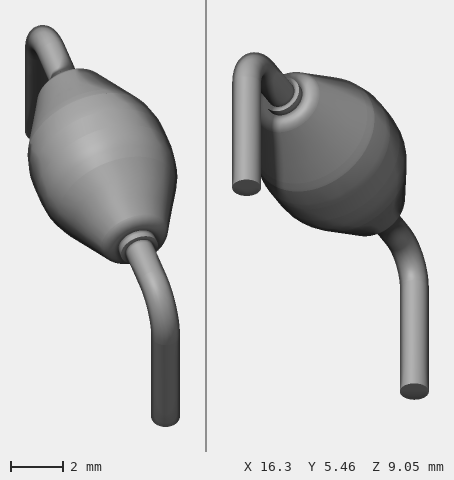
import cadquery as cq
import math


BEAD_RADIUS = 2.73
BEAD_HALF_LENGTH = 4.15
CYLINDER_HALF_LENGTH = 0.42
SHOULDER_END_X = 1.8
SHOULDER_RADIUS = 3.0
END_FILLET_RADIUS = 0.49
END_FACE_RADIUS = 0.92

BAND_INNER_X = -1.45
BAND_OUTER_X = -SHOULDER_END_X

COLLAR_RADIUS = 0.75
COLLAR_END_X = 4.46
COLLAR_LENGTH = COLLAR_END_X - BEAD_HALF_LENGTH

OVERALL_LENGTH = 16.34
LEAD_RADIUS = 0.55
LEAD_BEND_RADIUS = 1.5
LEAD_TIP_Z = -6.32
LEAD_X = OVERALL_LENGTH / 2 - LEAD_RADIUS

SIDES = (-1, 1)


def bead_shape():
    """Whole bead: cylinder, tangent shoulder arcs, cones and rounded end rims."""
    cone_angle = math.asin((SHOULDER_END_X - CYLINDER_HALF_LENGTH) / SHOULDER_RADIUS)

    shoulder_center_r = BEAD_RADIUS - SHOULDER_RADIUS

    def shoulder_point(angle):
        return (
            CYLINDER_HALF_LENGTH + SHOULDER_RADIUS * math.sin(angle),
            shoulder_center_r + SHOULDER_RADIUS * math.cos(angle),
        )

    fillet_center_x = BEAD_HALF_LENGTH - END_FILLET_RADIUS

    def fillet_point(angle):
        return (
            fillet_center_x + END_FILLET_RADIUS * math.sin(angle),
            END_FACE_RADIUS + END_FILLET_RADIUS * math.cos(angle),
        )

    fillet_mid_angle = (cone_angle + math.pi / 2) / 2

    def opposite(point):
        return (-point[0], point[1])

    cylinder_edge = (CYLINDER_HALF_LENGTH, BEAD_RADIUS)
    shoulder_mid = shoulder_point(cone_angle / 2)
    shoulder_end = shoulder_point(cone_angle)
    fillet_start = fillet_point(cone_angle)
    fillet_mid = fillet_point(fillet_mid_angle)
    fillet_end = (BEAD_HALF_LENGTH, END_FACE_RADIUS)

    profile = (
        cq.Workplane("XY")
        .moveTo(-BEAD_HALF_LENGTH, 0)
        .lineTo(*opposite(fillet_end))
        .threePointArc(opposite(fillet_mid), opposite(fillet_start))
        .lineTo(*opposite(shoulder_end))
        .threePointArc(opposite(shoulder_mid), opposite(cylinder_edge))
        .lineTo(*cylinder_edge)
        .threePointArc(shoulder_mid, shoulder_end)
        .lineTo(*fillet_start)
        .threePointArc(fillet_mid, fillet_end)
        .lineTo(BEAD_HALF_LENGTH, 0)
        .close()
    )
    return profile.revolve(360, (0, 0, 0), (1, 0, 0))


def bead_section(start_x, end_x):
    """Part of the bead between two planes square to its axis."""
    slab = (
        cq.Workplane("YZ", origin=(start_x, 0, 0))
        .circle(2 * BEAD_RADIUS)
        .extrude(end_x - start_x)
    )
    return bead_shape().intersect(slab).solids()


def collar(side):
    """Disc on one end face of the bead; side is -1 or 1 along X."""
    return (
        cq.Workplane("YZ", origin=(side * BEAD_HALF_LENGTH, 0, 0))
        .circle(COLLAR_RADIUS)
        .extrude(side * COLLAR_LENGTH)
    )


def lead(side):
    """Round wire from the collar face outwards, then down to its tip."""
    bend_start_x = LEAD_X - LEAD_BEND_RADIUS
    bend_mid = (
        side * (bend_start_x + LEAD_BEND_RADIUS * math.sin(math.pi / 4)),
        LEAD_BEND_RADIUS * (math.cos(math.pi / 4) - 1),
    )
    path = (
        cq.Workplane("XZ")
        .moveTo(side * COLLAR_END_X, 0)
        .lineTo(side * bend_start_x, 0)
        .threePointArc(bend_mid, (side * LEAD_X, -LEAD_BEND_RADIUS))
        .lineTo(side * LEAD_X, LEAD_TIP_Z)
    )
    return (
        cq.Workplane("YZ", origin=(side * COLLAR_END_X, 0, 0))
        .circle(LEAD_RADIUS)
        .sweep(path)
    )


left_section = bead_section(-BEAD_HALF_LENGTH, BAND_OUTER_X)
band = bead_section(BAND_OUTER_X, BAND_INNER_X)
main_section = bead_section(BAND_INNER_X, BEAD_HALF_LENGTH)
collars = [collar(side) for side in SIDES]
leads = [lead(side) for side in SIDES]

result = cq.Compound.makeCompound([
    left_section.val(),
    band.val(),
    main_section.val(),
    *[body.val() for body in collars],
    *[body.val() for body in leads],
])